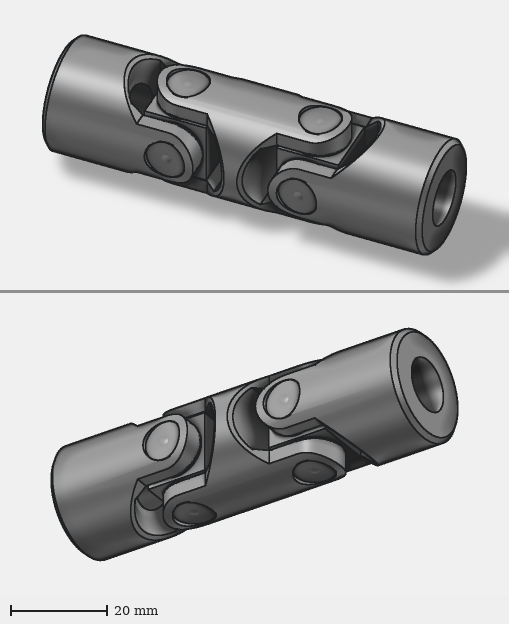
import cadquery as cq
import math


overall_length = 86.0
body_diameter = 25.0
joint_offset = 15.0
bore_diameter = 12.0
end_chamfer = 1.0

arm_width = 13.0
fork_gap = 15.0
slot_end_radius = 11.0
slot_end_center = 1.6
shoulder_start = 7.05
shoulder_end = 13.5

block_side = 14.0
block_width = 13.5
boss_diameter = 12.5
pin_diameter = 9.0
pin_span = 23.05
button_diameter = 2.15
button_height = 0.2

body_radius = body_diameter / 2
arm_radius = arm_width / 2
slot_straight_end = slot_end_center + math.sqrt(slot_end_radius**2 - (fork_gap / 2) ** 2)
end_root_length = overall_length / 2 - joint_offset
button_sphere_radius = ((button_diameter / 2) ** 2 + button_height**2) / (2 * button_height)
button_half_angle = math.asin(button_diameter / 2 / button_sphere_radius)
button_mid_height = button_height - button_sphere_radius * (1 - math.cos(button_half_angle / 2))


def rod(diameter, start, end, axis=(1, 0, 0)):
    """Cylinder along an axis through the origin, between two distances."""
    direction = cq.Vector(*axis)
    return cq.Workplane(cq.Solid.makeCylinder(diameter / 2, end - start, direction * start, direction))


def make_fork(root_length):
    """Fork with its joint at the origin and its root ending at root_length."""
    body = rod(body_diameter, -arm_radius, root_length)
    outline = (
        cq.Workplane("XY")
        .moveTo(0, arm_radius)
        .lineTo(shoulder_start, arm_radius)
        .lineTo(shoulder_end, body_radius)
        .lineTo(root_length, body_radius)
        .lineTo(root_length, -body_radius)
        .lineTo(shoulder_end, -body_radius)
        .lineTo(shoulder_start, -arm_radius)
        .lineTo(0, -arm_radius)
        .threePointArc((-arm_radius, 0), (0, arm_radius))
        .close()
        .extrude(body_radius, both=True)
    )
    gap = (
        cq.Workplane("XZ")
        .moveTo(-body_radius, fork_gap / 2)
        .lineTo(slot_straight_end, fork_gap / 2)
        .threePointArc((slot_end_center + slot_end_radius, 0), (slot_straight_end, -fork_gap / 2))
        .lineTo(-body_radius, -fork_gap / 2)
        .close()
        .extrude(body_radius, both=True)
    )
    pin_hole = rod(pin_diameter, -body_radius, body_radius, (0, 0, 1))
    return body.intersect(outline).cut(gap).cut(pin_hole)


def make_end_yoke():
    """Bored and chamfered yoke for the +X end, with its arms at +Y and -Y."""
    yoke = make_fork(end_root_length).faces(">X").chamfer(end_chamfer)
    yoke = yoke.cut(rod(bore_diameter, 0, end_root_length))
    return yoke.rotate((0, 0, 0), (1, 0, 0), 90).translate((joint_offset, 0, 0))


def make_center_yoke():
    """Two forks back to back, with their arms at +Z and -Z."""
    left_half = make_fork(joint_offset).translate((-joint_offset, 0, 0))
    right_half = left_half.mirror("YZ")
    return left_half.union(right_half)


def make_button():
    """Spherical cap standing at the origin and rising toward +Z."""
    return (
        cq.Workplane("XZ")
        .lineTo(button_diameter / 2, 0)
        .threePointArc(
            (button_sphere_radius * math.sin(button_half_angle / 2), button_mid_height),
            (0, button_height),
        )
        .close()
        .revolve(360, (0, 0, 0), (0, 1, 0))
    )


def make_trunnion():
    """Boss, pin and domed button stacked along +Z from the center of the cross."""
    boss = rod(boss_diameter, 0, fork_gap / 2, (0, 0, 1))
    pin = rod(pin_diameter, 0, pin_span / 2, (0, 0, 1))
    return boss.union(pin).union(make_button().translate((0, 0, pin_span / 2)))


def make_cross():
    """Block with a trunnion on each of its four Y and Z faces."""
    cross = cq.Workplane("XY").box(block_side, block_width, block_side)
    trunnion = make_trunnion()
    for angle in (0, 90, 180, 270):
        cross = cross.union(trunnion.rotate((0, 0, 0), (1, 0, 0), angle))
    return cross


right_yoke = make_end_yoke()
left_yoke = right_yoke.rotate((0, 0, 0), (0, 0, 1), 180)
center_yoke = make_center_yoke()
crosses = [make_cross().translate((side * joint_offset, 0, 0)) for side in (-1, 1)]

result = cq.Compound.makeCompound(
    [left_yoke.val(), right_yoke.val(), center_yoke.val(), *[cross.val() for cross in crosses]]
)